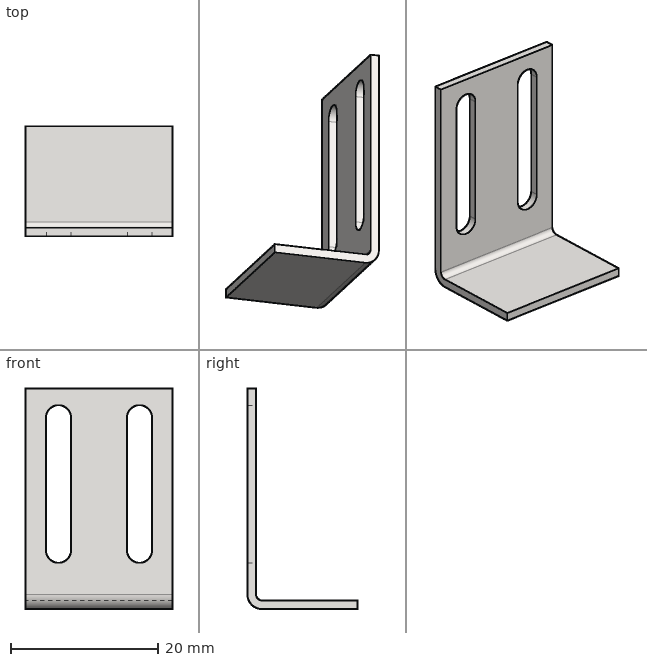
import cadquery as cq

width = 20.0
depth = 15.0
height = 30.0

thickness = 1.2
inner_bend_radius = 0.8
outer_bend_radius = inner_bend_radius + thickness

slot_width = 3.4
slot_travel = 18.0
slot_spacing = 11.0
slot_end_to_top = 4.0
slot_center_z = height - slot_end_to_top - slot_travel / 2


def bent_sheet():
    """L-shaped sheet: upright leg at the front, base leg running back."""
    blank = cq.Workplane("XY").box(width, depth, height, centered=(True, False, False))
    blank = blank.edges("<Y and <Z").fillet(outer_bend_radius)
    inside = (
        cq.Workplane("XY", origin=(0, thickness, thickness))
        .box(width, depth - thickness, height - thickness, centered=(True, False, False))
        .edges("<Y and <Z")
        .fillet(inner_bend_radius)
    )
    return blank.cut(inside)


def slot_cutters():
    """Two vertical slots, symmetric about the middle of the width."""
    return (
        cq.Workplane("XZ", origin=(0, 0, slot_center_z))
        .pushPoints([(-slot_spacing / 2, 0), (slot_spacing / 2, 0)])
        .slot2D(slot_travel + slot_width, slot_width, 90)
        .extrude(-thickness)
    )


result = bent_sheet().cut(slot_cutters())